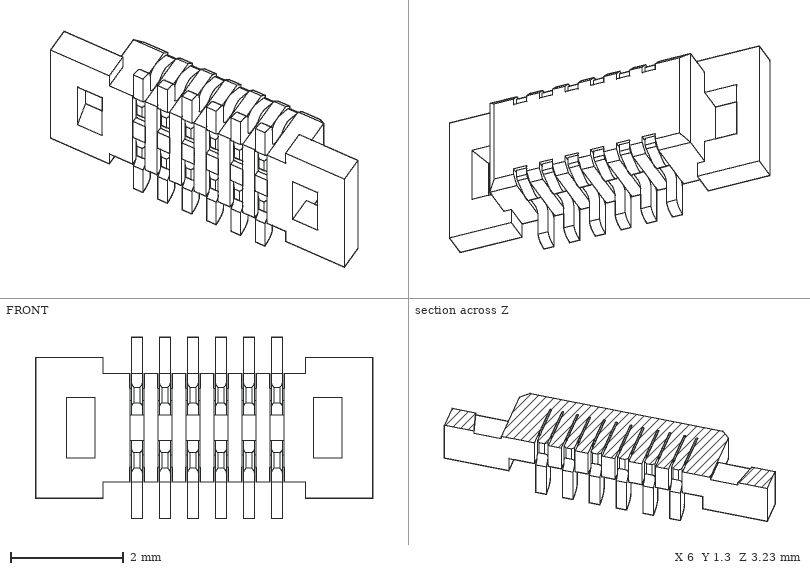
import cadquery as cq
import math


overall_length = 6.0
housing_depth = 1.28
housing_width = 1.94
block_length = 3.89
back_chamfer = 0.15

flange_length = 1.2
flange_width = 2.51
flange_depth = 0.49
window_length = 0.505
window_width = 1.07
window_edge = 0.55
window_flare = 0.115

contact_count = 6
contact_pitch = 0.5
row_offset = 0.05
contact_width = 0.2
slot_width = 0.25

web_half_width = 0.23
web_recess = 0.02
wall_inner_z = 0.485
wall_outer_z = 0.7
wall_round_y = 0.38
pocket_depth = 0.96

tail_bottom_y = -0.025
tail_top_y = 0.245
tail_end_z = 1.615
tail_slant_top_y = 0.1
tail_slant_run = 0.03
tail_round_run = 0.12

step_y = 0.035
step_run = 0.055
floor_y = 0.08
tooth_y = 0.03
tooth_outer_z = 0.72
tooth_inner_z = 0.445
tooth_fillet_run = 0.085
floor_start_z = tooth_inner_z - tooth_fillet_run
tooth_bevel = floor_y - tooth_y
corner_radius = 0.09

leg_z = 0.92
bulge_y = 0.78
bulge_z = 1.04
bulge_radius = 0.21
slope_start_y = 0.865
dip_radius = 0.095
tip_slope_y = 1.16
tip_y = 1.21
tip_chamfer_run = 0.05

half_width = housing_width / 2
groove_start_z = half_width - step_run
groove_middle_z = (tooth_outer_z + groove_start_z) / 2

contact_centers = [
    row_offset + (index - (contact_count - 1) / 2) * contact_pitch for index in range(contact_count)
]


def box(x_range, y_range, z_range):
    """Axis-aligned box between pairs of limits."""
    limits = (x_range, y_range, z_range)
    sizes = [high - low for low, high in limits]
    lows = [low for low, high in limits]
    return cq.Workplane("XY").box(*sizes, centered=False).translate(tuple(lows))


def extrude_across(profile, x_center, width):
    """Extrude a closed YZ outline by width, centered on x_center."""
    return profile.extrude(width / 2, both=True).translate((x_center, 0, 0))


def make_window():
    """Opening through the +X flange, wider in X at the back of the flange."""
    outer_x = overall_length / 2 - window_edge
    inner_x = outer_x - window_length
    return (
        cq.Workplane("XY")
        .moveTo(inner_x, 0)
        .lineTo(outer_x, 0)
        .lineTo(outer_x + window_flare, flange_depth)
        .lineTo(inner_x, flange_depth)
        .close()
        .extrude(window_width / 2, both=True)
    )


def make_flange():
    """The +X flange, reaching inward past the end of the block."""
    inner_x = overall_length / 2 - flange_length
    half_flange = flange_width / 2
    return box((inner_x, overall_length / 2), (0, flange_depth), (-half_flange, half_flange))


def make_housing():
    half_block = block_length / 2
    block = box((-half_block, half_block), (0, housing_depth), (-half_width, half_width))
    block = block.faces(">Y").edges().chamfer(back_chamfer)
    flange = make_flange()
    window = make_window()
    housing = block.union(flange).union(flange.mirror("YZ"))
    return housing.cut(window).cut(window.mirror("YZ"))


def make_slot(x_center):
    """Material removed for the upper contact of one pair."""
    wall_radius = (wall_outer_z - wall_inner_z) / 2
    profile = (
        cq.Workplane("YZ")
        .moveTo(0, half_width)
        .lineTo(housing_depth, half_width)
        .lineTo(housing_depth, wall_outer_z)
        .lineTo(wall_round_y, wall_outer_z)
        .threePointArc(
            (wall_round_y - wall_radius, wall_inner_z + wall_radius), (wall_round_y, wall_inner_z)
        )
        .lineTo(pocket_depth, wall_inner_z)
        .lineTo(pocket_depth, web_half_width)
        .lineTo(0, web_half_width)
        .close()
    )
    return extrude_across(profile, x_center, slot_width)


def make_web_recess(x_center):
    half_slot = slot_width / 2
    return box(
        (x_center - half_slot, x_center + half_slot), (0, web_recess), (-web_half_width, web_half_width)
    )


def contact_outline():
    """YZ outline of the upper contact, wrapped around the side wall of its slot."""
    slope_angle = math.asin((slope_start_y - bulge_y) / bulge_radius)
    slope_start_z = bulge_z - bulge_radius * (1 - math.cos(slope_angle))
    tip_slope_z = slope_start_z - (tip_slope_y - slope_start_y) * math.tan(slope_angle)
    dip_angle = math.acos(1 - (bulge_z - leg_z) / (bulge_radius + dip_radius))
    dip_start_y = bulge_y - bulge_radius * math.sin(dip_angle)
    dip_start_z = bulge_z - bulge_radius * (1 - math.cos(dip_angle))
    dip_end_y = dip_start_y - dip_radius * math.sin(dip_angle)

    bend_radius = wall_round_y - tail_top_y
    wall_radius = (wall_outer_z - wall_inner_z) / 2
    slant_top_z = tail_end_z - tail_slant_run
    return (
        cq.Workplane("YZ")
        .moveTo(tail_bottom_y, half_width)
        .lineTo(tail_bottom_y, tail_end_z)
        .lineTo(tail_slant_top_y, slant_top_z)
        .tangentArcPoint((tail_top_y, slant_top_z - tail_round_run), relative=False)
        .lineTo(tail_top_y, leg_z + bend_radius)
        .tangentArcPoint((wall_round_y, leg_z), relative=False)
        .lineTo(dip_end_y, leg_z)
        .tangentArcPoint((dip_start_y, dip_start_z), relative=False)
        .threePointArc((bulge_y, bulge_z), (slope_start_y, slope_start_z))
        .lineTo(tip_slope_y, tip_slope_z)
        .lineTo(tip_y, tip_slope_z - tip_chamfer_run)
        .lineTo(tip_y, wall_outer_z)
        .lineTo(wall_round_y, wall_outer_z)
        .threePointArc(
            (wall_round_y - wall_radius, wall_inner_z + wall_radius), (wall_round_y, wall_inner_z)
        )
        .lineTo(pocket_depth, wall_inner_z)
        .lineTo(pocket_depth, web_half_width)
        .lineTo(floor_y + corner_radius, web_half_width)
        .tangentArcPoint((floor_y, web_half_width + corner_radius), relative=False)
        .lineTo(floor_y, floor_start_z)
        .tangentArcPoint((tooth_y, tooth_inner_z), relative=False)
        .lineTo(tooth_y, tooth_outer_z)
        .threePointArc((floor_y, groove_middle_z), (step_y, groove_start_z))
        .close()
    )


def make_contact(x_center):
    contact = extrude_across(contact_outline(), x_center, contact_width)
    for side in (-1, 1):
        edge_x = x_center + side * contact_width / 2
        bevel = (
            cq.Workplane("XY")
            .moveTo(edge_x, tooth_y)
            .lineTo(edge_x - side * tooth_bevel, tooth_y)
            .lineTo(edge_x, floor_y)
            .close()
            .extrude(groove_middle_z - floor_start_z)
            .translate((0, 0, floor_start_z))
        )
        contact = contact.cut(bevel)
    return contact


result = make_housing()
for x in contact_centers:
    slot = make_slot(x)
    contact = make_contact(x)
    result = result.cut(slot).cut(slot.mirror("XY")).cut(make_web_recess(x))
    result = result.union(contact).union(contact.mirror("XY"))